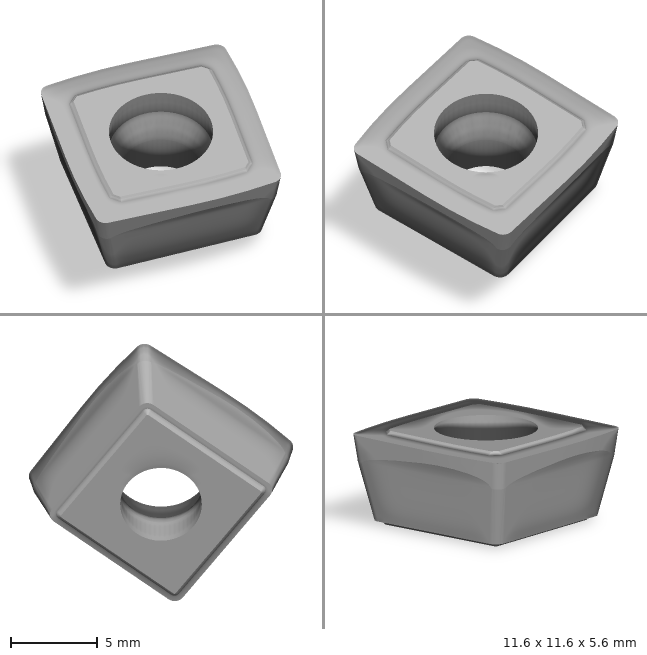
import math
import cadquery as cq


SIDES = 4
QUARTER_TURN = 90

TOTAL_HEIGHT = 5.6
LAND_HEIGHT = 5.42
RELIEF_BREAK_HEIGHT = 3.93
SEAT_LEDGE_HEIGHT = 0.28

HALF_WIDTH = 5.8
SIDE_ARC_START = 0.2
SIDE_ARC_RADIUS = 33.64
CORNER_RADIUS = 0.6
SIDE_EDGE_REACH = 1.2
PRIMARY_RELIEF = math.radians(7)

BODY_TURN = 2.1
BODY_HALF_WIDTH = 5.45
BODY_RELIEF = math.radians(11)
FLARE_RADIUS = 2.06
FLARE_ANGLE = math.radians(45)

SEAT_HALF_WIDTH = 4.41
SEAT_CORNER_RADIUS = 0.32
SEAT_TAPER = 42

PAD_INSET = 1.33
PAD_SIDE_ARC_START = 0.1
PAD_LOWER_BEVEL = 0.15
PAD_UPPER_BEVEL = 0.12
PAD_BASE_CORNER_CUT = 0.5
PAD_TOP_CORNER_CUT = 0.28

HEAD_RADIUS = 3.0
BORE_RADIUS = 2.35
HEAD_SEAT_HEIGHT = 3.99
BORE_TOP_HEIGHT = 2.31


def bulged_outline(inset, arc_start, height, corner_cut=0.0):
    """Outline set in from the cutting edge, of four equal turned sides, with corners sharp or cut off."""
    half = HALF_WIDTH - inset
    radius = SIDE_ARC_RADIUS - inset
    arc_end = half - corner_cut
    arc_middle = (arc_start + arc_end) / 2

    def side_point(x, quarter):
        past_start = max(x - arc_start, 0)
        drop = radius - math.sqrt(radius**2 - past_start**2)
        y = drop - half
        for _ in range(quarter):
            x, y = -y, x
        return x, y

    corner_y = side_point(half, 0)[1]
    line_start = corner_y + corner_cut
    outline = cq.Workplane("XY", origin=(0, 0, height)).moveTo(*side_point(line_start, 0))
    for quarter in range(SIDES):
        outline = outline.lineTo(*side_point(arc_start, quarter)).threePointArc(
            side_point(arc_middle, quarter), side_point(arc_end, quarter)
        )
        if corner_cut and quarter < SIDES - 1:
            outline = outline.lineTo(*side_point(line_start, quarter + 1))
    return outline.close().wire().val()


def square_outline(half, height):
    return cq.Workplane("XY", origin=(0, 0, height)).rect(2 * half, 2 * half).wire().val()


def ruled_loft(lower, upper):
    return cq.Workplane(cq.Solid.makeLoft([lower, upper], True))


def round_corners(solid):
    """Round the sloped edges where two sides meet; these lie further out than any edge on a side."""
    side_reach = SIDE_EDGE_REACH * solid.val().BoundingBox().xmax
    corner_edges = solid.edges("not #Z").filter(
        lambda edge: math.hypot(edge.Center().x, edge.Center().y) > side_reach
    )
    return corner_edges.fillet(CORNER_RADIUS)


def make_upper_envelope():
    """Bulged outline tapering down at the primary relief angle."""
    inset = (LAND_HEIGHT - SEAT_LEDGE_HEIGHT) * math.tan(PRIMARY_RELIEF)
    envelope = ruled_loft(
        bulged_outline(inset, SIDE_ARC_START, SEAT_LEDGE_HEIGHT),
        bulged_outline(0, SIDE_ARC_START, LAND_HEIGHT),
    )
    return round_corners(envelope)


def make_flare():
    """Concave fill on the front side, tangent to it at the relief break."""
    slope = math.tan(BODY_RELIEF)
    end_angle = BODY_RELIEF + FLARE_ANGLE

    def arc_point(angle):
        outward = FLARE_RADIUS * (math.cos(BODY_RELIEF) - math.cos(angle))
        rise = FLARE_RADIUS * (math.sin(angle) - math.sin(BODY_RELIEF))
        return -BODY_HALF_WIDTH - outward, RELIEF_BREAK_HEIGHT + rise

    end_y, end_z = arc_point(end_angle)
    face_y = -BODY_HALF_WIDTH - slope * (end_z - RELIEF_BREAK_HEIGHT)
    return (
        cq.Workplane("YZ")
        .moveTo(-BODY_HALF_WIDTH, RELIEF_BREAK_HEIGHT)
        .threePointArc(arc_point((BODY_RELIEF + end_angle) / 2), (end_y, end_z))
        .lineTo(end_y, LAND_HEIGHT)
        .lineTo(face_y, LAND_HEIGHT)
        .lineTo(face_y, end_z)
        .close()
        .extrude(HALF_WIDTH, both=True)
    )


def make_lower_envelope():
    """Turned frustum with rounded corners, flared outward above the relief break."""
    slope = math.tan(BODY_RELIEF)
    bottom_half = BODY_HALF_WIDTH - slope * (RELIEF_BREAK_HEIGHT - SEAT_LEDGE_HEIGHT)
    top_half = BODY_HALF_WIDTH + slope * (LAND_HEIGHT - RELIEF_BREAK_HEIGHT)
    envelope = ruled_loft(
        square_outline(bottom_half, SEAT_LEDGE_HEIGHT),
        square_outline(top_half, LAND_HEIGHT),
    )
    envelope = round_corners(envelope)
    flare = make_flare()
    for quarter in range(SIDES):
        envelope = envelope.union(flare.rotate((0, 0, 0), (0, 0, 1), QUARTER_TURN * quarter))
    return envelope.rotate((0, 0, 0), (0, 0, 1), BODY_TURN)


def make_seat():
    """Shallow tapered pad below the ledge."""
    profile = cq.Sketch().rect(2 * SEAT_HALF_WIDTH, 2 * SEAT_HALF_WIDTH)
    profile = profile.vertices().fillet(SEAT_CORNER_RADIUS)
    return (
        cq.Workplane("XY", origin=(0, 0, SEAT_LEDGE_HEIGHT))
        .placeSketch(profile)
        .extrude(-SEAT_LEDGE_HEIGHT, taper=SEAT_TAPER)
        .rotate((0, 0, 0), (0, 0, 1), BODY_TURN)
    )


def make_pad():
    """Raised pad whose bevel changes slope at half its height, with corner cuts narrowing upward."""

    def outline(inset, height, corner_cut):
        return bulged_outline(inset, PAD_SIDE_ARC_START, height, corner_cut)

    middle_inset = PAD_INSET + PAD_LOWER_BEVEL
    middle_height = (LAND_HEIGHT + TOTAL_HEIGHT) / 2
    middle_cut = (PAD_BASE_CORNER_CUT + PAD_TOP_CORNER_CUT) / 2
    base = outline(PAD_INSET, LAND_HEIGHT, PAD_BASE_CORNER_CUT)
    middle = outline(middle_inset, middle_height, middle_cut)
    top = outline(middle_inset + PAD_UPPER_BEVEL, TOTAL_HEIGHT, PAD_TOP_CORNER_CUT)
    return ruled_loft(base, middle).union(ruled_loft(middle, top))


def make_hole():
    """Head recess, convex seat tangent to the bore, then the bore."""
    seat_depth = HEAD_SEAT_HEIGHT - BORE_TOP_HEIGHT
    seat_width = HEAD_RADIUS - BORE_RADIUS
    seat_radius = (seat_depth**2 + seat_width**2) / (2 * seat_width)
    return (
        cq.Workplane("XZ")
        .lineTo(BORE_RADIUS, 0)
        .lineTo(BORE_RADIUS, BORE_TOP_HEIGHT)
        .radiusArc((HEAD_RADIUS, HEAD_SEAT_HEIGHT), seat_radius)
        .lineTo(HEAD_RADIUS, TOTAL_HEIGHT)
        .lineTo(0, TOTAL_HEIGHT)
        .close()
        .revolve(360, (0, 0, 0), (0, 1, 0))
    )


body = make_upper_envelope().intersect(make_lower_envelope())
result = body.union(make_seat()).union(make_pad()).cut(make_hole())